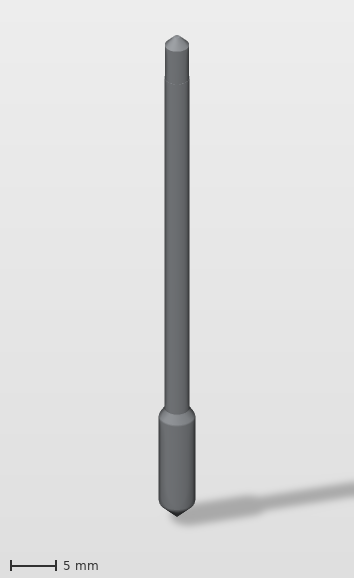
import cadquery as cq

LENGTH = 64.45

HEAD_DIAMETER = 4.05
POINT_HEIGHT = 2.1
POINT_ROUND = 0.5
SHOULDER_START = 13.6
SHOULDER_ROUND = 0.3
SHOULDER_END = 14.7
NECK_LENGTH = 0.2

SHAFT_DIAMETER = 2.8
TIP_DIAMETER = 2.7
TIP_START = 59.0
TIP_CONE_HEIGHT = 1.1
TIP_FLAT_DIAMETER = 0.65

head_radius = HEAD_DIAMETER / 2
shaft_radius = SHAFT_DIAMETER / 2
tip_radius = TIP_DIAMETER / 2
neck_radius = shaft_radius
neck_top = SHOULDER_END + NECK_LENGTH


def revolve_profile(points):
    """Revolve a closed (radius, height) profile about the Z axis."""
    return cq.Workplane("XZ").polyline(points).close().revolve(360, (0, 0), (0, 1))


def make_head():
    """Head with its point at the origin, rounded at both ends of its cylinder."""
    blank = revolve_profile([
        (0, 0),
        (head_radius, POINT_HEIGHT),
        (head_radius, SHOULDER_START),
        (neck_radius, SHOULDER_END),
        (neck_radius, neck_top),
        (0, neck_top),
    ])
    pointed = blank.edges("%CIRCLE").edges("<Z").fillet(POINT_ROUND)
    return pointed.edges("%CIRCLE").edges(">>Z[-3]").fillet(SHOULDER_ROUND)


def make_shaft():
    return revolve_profile([
        (0, neck_top),
        (shaft_radius, neck_top),
        (shaft_radius, TIP_START),
        (tip_radius, TIP_START),
        (tip_radius, LENGTH - TIP_CONE_HEIGHT),
        (TIP_FLAT_DIAMETER / 2, LENGTH),
        (0, LENGTH),
    ])


head = make_head()
shaft = make_shaft()

result = cq.Compound.makeCompound([head.val(), shaft.val()])